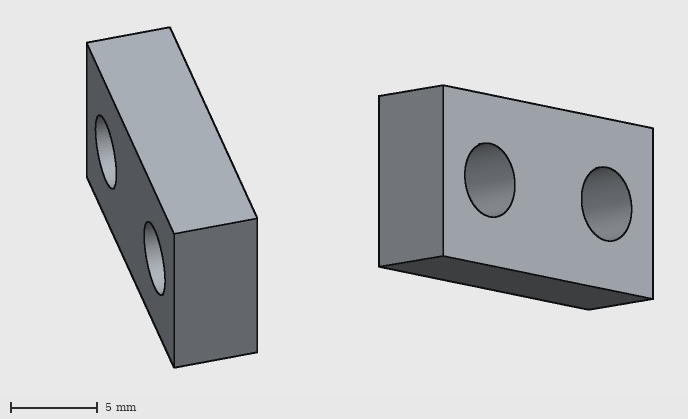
import cadquery as cq

length = 18.0
thickness = 5.0
height = 10.0

hole_diameter = 4.3
hole_edge_distance = 4.0
hole_spacing = length - 2 * hole_edge_distance

block = cq.Workplane("XY").box(length, thickness, height)

result = (
    block.faces("<Y")
    .workplane(centerOption="CenterOfBoundBox")
    .rarray(hole_spacing, 0.18, 2, 1)
    .hole(hole_diameter)
)